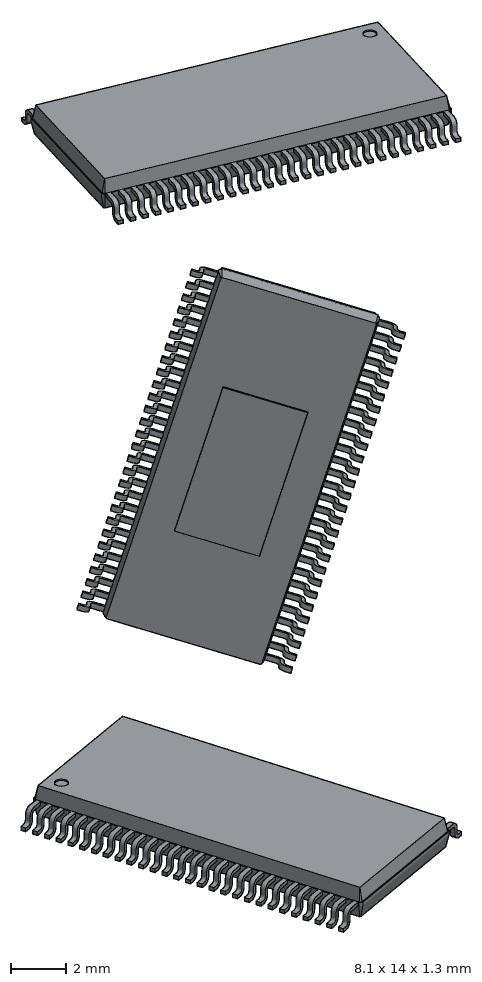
import cadquery as cq
import math

total_height = 1.3
standoff = 0.1

body_length = 14.0
body_width = 6.1
draft_angle = 12.0
corner_chamfer = 0.1
upper_ledge = 0.04

leads_per_side = 28
lead_pitch = body_length / leads_per_side
lead_width = 0.21
lead_thickness = 0.15
lead_span = 8.1
lead_top = 0.75
foot_length = 0.18
bend_inner_radius = 0.13
lead_embed = 0.14

pad_width = 3.22
pad_length = 5.8
pad_embed = 0.07

mark_diameter = 0.5
mark_depth = 0.05
mark_edge_distance = 0.77

band_bottom = lead_top - lead_thickness
bend_outer_radius = bend_inner_radius + lead_thickness


def outline_points(inset):
    """Body outline moved inward by inset, its 45-degree corners shortened by the offset."""
    x = body_width / 2 - inset
    y = body_length / 2 - inset
    leg = corner_chamfer - inset * (2 - math.sqrt(2))
    return [
        (x - leg, -y), (x, leg - y), (x, y - leg), (x - leg, y),
        (leg - x, y), (-x, y - leg), (-x, leg - y), (leg - x, -y),
    ]


def drafted_block(base_z, height, base_inset):
    """Block narrowing away from base_z; a negative height points it down."""
    end_inset = base_inset + abs(height) * math.tan(math.radians(draft_angle))
    return (
        cq.Workplane("XY", origin=(0, 0, base_z))
        .polyline(outline_points(base_inset)).close()
        .workplane(offset=height)
        .polyline(outline_points(end_inset)).close()
        .loft(ruled=True)
    )


def make_body():
    band = (
        cq.Workplane("XY", origin=(0, 0, band_bottom))
        .polyline(outline_points(0)).close()
        .extrude(lead_thickness)
    )
    upper = drafted_block(lead_top, total_height - lead_top, upper_ledge)
    lower = drafted_block(band_bottom, standoff - band_bottom, 0)
    return band.union(upper).union(lower)


def make_lead():
    """Lead on the +X side, centered on Y = 0."""
    tip_x = lead_span / 2
    foot_bend_x = tip_x - foot_length
    riser_inner_x = foot_bend_x - bend_outer_radius
    riser_outer_x = riser_inner_x + lead_thickness
    shoulder_bend_x = riser_outer_x - bend_outer_radius
    root_x = body_width / 2 - lead_embed
    foot_center_z = bend_outer_radius
    shoulder_center_z = lead_top - bend_outer_radius
    diagonal = math.sqrt(0.5)

    def foot_arc_middle(radius):
        return (foot_bend_x - radius * diagonal, foot_center_z - radius * diagonal)

    def shoulder_arc_middle(radius):
        return (shoulder_bend_x + radius * diagonal, shoulder_center_z + radius * diagonal)

    return (
        cq.Workplane("XZ")
        .moveTo(root_x, lead_top)
        .lineTo(shoulder_bend_x, lead_top)
        .threePointArc(shoulder_arc_middle(bend_outer_radius), (riser_outer_x, shoulder_center_z))
        .lineTo(riser_outer_x, foot_center_z)
        .threePointArc(foot_arc_middle(bend_inner_radius), (foot_bend_x, lead_thickness))
        .lineTo(tip_x, lead_thickness)
        .lineTo(tip_x, 0)
        .lineTo(foot_bend_x, 0)
        .threePointArc(foot_arc_middle(bend_outer_radius), (riser_inner_x, foot_center_z))
        .lineTo(riser_inner_x, shoulder_center_z)
        .threePointArc(shoulder_arc_middle(bend_inner_radius), (shoulder_bend_x, band_bottom))
        .lineTo(root_x, band_bottom)
        .close()
        .extrude(lead_width / 2, both=True)
    )


def make_pad():
    return cq.Workplane("XY").rect(pad_width, pad_length).extrude(standoff + pad_embed)


def make_mark():
    mark_x = mark_edge_distance - body_width / 2
    mark_y = body_length / 2 - mark_edge_distance
    return (
        cq.Workplane("XY", origin=(mark_x, mark_y, total_height - mark_depth))
        .circle(mark_diameter / 2)
        .extrude(mark_depth)
    )


right_lead = make_lead().val()
left_lead = right_lead.mirror("YZ")
leads = []
for index in range(leads_per_side):
    lead_y = (index - (leads_per_side - 1) / 2) * lead_pitch
    for lead in (right_lead, left_lead):
        leads.append(lead.translate(cq.Vector(0, lead_y, 0)))

package = make_body().union(make_pad()).cut(make_mark())
result = cq.Workplane("XY").newObject([package.val().fuse(*leads).clean()])